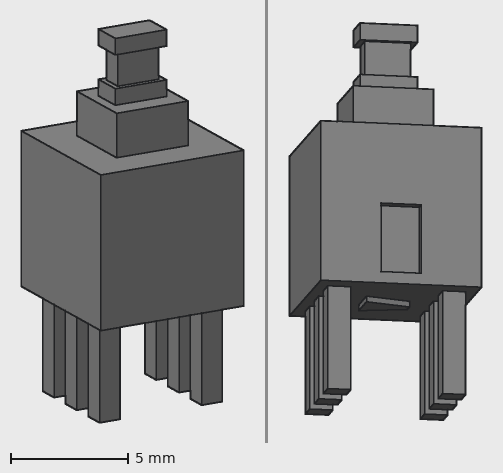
import cadquery as cq

total_height = 16.5
body_side = 7.0
body_height = 7.0

pin_side = 1.0
pin_length = 4.5
pin_pitch_x = 2.0
pin_pitch_y = 5.0
pin_columns = 3
pin_rows = 2

mark_x = 1.75
mark_tip = 0.5
mark_y = 2.0
mark_height = 0.25

neck_side = 3.5
neck_height = 2.0
flange_x = 1.5
flange_y = 2.5
flange_height = 0.75
stem_x = 1.0
stem_y = 2.0

window_width = 1.75
window_height = 3.0
window_sill = 0.5
window_depth = 0.5

neck_base = body_height
collar_base = neck_base + neck_height
stem_base = collar_base + flange_height
cap_base = total_height - pin_length - flange_height
stem_height = cap_base - stem_base


def block(size_x, size_y, height, base):
    """Box centred on the Z axis, rising from the given level."""
    return cq.Workplane("XY", origin=(0, 0, base)).rect(size_x, size_y).extrude(height)


def make_pins():
    return (
        cq.Workplane("XY")
        .rarray(pin_pitch_x, pin_pitch_y, pin_columns, pin_rows)
        .rect(pin_side, pin_side)
        .extrude(-pin_length)
    )


def make_mark():
    outline = [
        (-mark_x / 2, mark_y / 2),
        (mark_x / 2, mark_y / 2),
        (mark_tip / 2, -mark_y / 2),
        (-mark_tip / 2, -mark_y / 2),
    ]
    return cq.Workplane("XY").polyline(outline).close().extrude(-mark_height)


def make_plunger():
    collar = block(flange_x, flange_y, flange_height, collar_base)
    stem = block(stem_x, stem_y, stem_height, stem_base)
    cap = block(flange_x, flange_y, flange_height, cap_base)
    return collar.union(stem).union(cap)


def make_window():
    wall_x = -body_side / 2
    return block(window_depth, window_width, window_height, window_sill).translate(
        (wall_x + window_depth / 2, 0, 0)
    )


housing = block(body_side, body_side, body_height, 0).cut(make_window())
neck = block(neck_side, neck_side, neck_height, neck_base)

result = housing.union(neck).union(make_plunger()).union(make_mark()).union(make_pins())